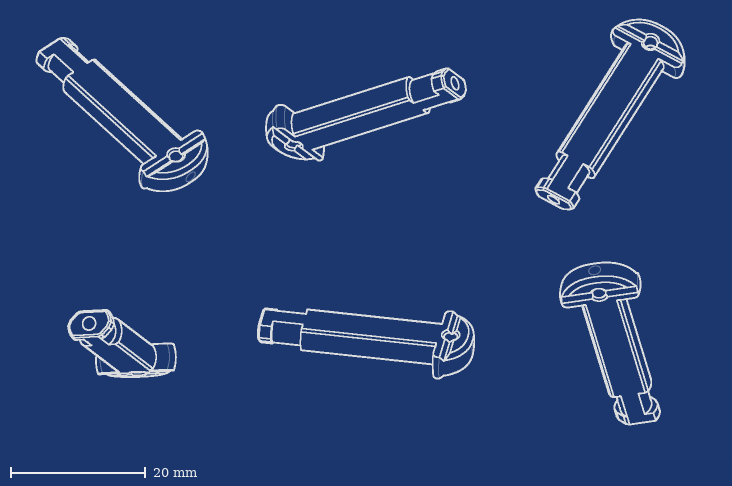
import cadquery as cq
import math

LENGTH = 31.88
THICKNESS = 4.0
HALF_THICKNESS = THICKNESS / 2

TIP_END_X = 2.0
NECK_END_X = 6.5
HEAD_START_X = 26.8

SHAFT_RADIUS = 3.3
SHAFT_FLAT_HALF_WIDTH = 2.35
SHAFT_BEVEL_Y = 2.85
NECK_RADIUS = 2.4
TIP_CHAMFER = 0.3
CENTRE_DIMPLE_DIAMETER = 2.0

TIP_BEVEL_START_Z = -0.15
TIP_BEVEL_LOWER = (2.93, 0.7)
TIP_BEVEL_UPPER = (1.88, 1.8)
TIP_FLAT_HALF_WIDTH = 1.3

DOME_RADIUS = 5.35
DOME_FLAT_RADIUS = 0.9
HEAD_FILLET = 0.8
DOME_CHAMFER = 0.6
GROOVE_X = 28.55
GROOVE_DEPTH = 0.67
HOLE_DIAMETER = 2.0
COUNTERSINK_DIAMETER = 2.68


def section(start_x):
    """Sketch plane across the part, with local axes along +Y and +Z."""
    return cq.Workplane("YZ", origin=(start_x, 0, 0))


def circle_point(radius, y=None, z=None):
    """Point with positive y or z on a circle about the X axis."""
    if y is None:
        return (math.sqrt(radius**2 - z**2), z)
    return (y, math.sqrt(radius**2 - y**2))


def opposite(point):
    """Point turned half a turn about the X axis."""
    return (-point[0], -point[1])


def mirror_y(point):
    return (-point[0], point[1])


def make_tip():
    """Round tip with flats and two diagonally opposite bevelled corners."""
    arc_start = circle_point(SHAFT_RADIUS, z=-HALF_THICKNESS)
    arc_end = circle_point(SHAFT_RADIUS, z=TIP_BEVEL_START_Z)
    arc_middle = circle_point(SHAFT_RADIUS, z=(arc_start[1] + arc_end[1]) / 2)
    flat_start = (TIP_FLAT_HALF_WIDTH, HALF_THICKNESS)

    outline = section(0).moveTo(*arc_start)
    outline = outline.threePointArc(arc_middle, arc_end)
    for point in (TIP_BEVEL_LOWER, TIP_BEVEL_UPPER, flat_start, opposite(arc_start)):
        outline = outline.lineTo(*point)
    outline = outline.threePointArc(opposite(arc_middle), opposite(arc_end))
    for point in (TIP_BEVEL_LOWER, TIP_BEVEL_UPPER, flat_start):
        outline = outline.lineTo(*opposite(point))
    tip = outline.close().extrude(TIP_END_X)
    return tip.faces("<X").chamfer(TIP_CHAMFER)


def make_neck():
    """Reduced round neck with flats."""
    length = NECK_END_X - TIP_END_X
    flats = section(TIP_END_X).rect(2 * NECK_RADIUS, THICKNESS).extrude(length)
    return section(TIP_END_X).circle(NECK_RADIUS).extrude(length).intersect(flats)


def make_shaft():
    """Flattened round shaft with a bevel along each edge of the flats."""
    bevel_end = circle_point(SHAFT_RADIUS, y=SHAFT_BEVEL_Y)
    flat_end = (SHAFT_FLAT_HALF_WIDTH, HALF_THICKNESS)
    outline = (
        section(NECK_END_X)
        .moveTo(bevel_end[0], -bevel_end[1])
        .threePointArc((SHAFT_RADIUS, 0), bevel_end)
        .lineTo(*flat_end)
        .lineTo(*mirror_y(flat_end))
        .lineTo(*mirror_y(bevel_end))
        .threePointArc((-SHAFT_RADIUS, 0), opposite(bevel_end))
        .lineTo(*opposite(flat_end))
        .lineTo(flat_end[0], -flat_end[1])
        .close()
    )
    return outline.extrude(HEAD_START_X - NECK_END_X)


def make_head_cap():
    """Dome turned about the X axis: flat centre, round shoulder and filleted back rim."""
    shoulder_x = LENGTH - DOME_RADIUS
    fillet_x = HEAD_START_X + HEAD_FILLET
    fillet_y = DOME_FLAT_RADIUS + math.sqrt(
        (DOME_RADIUS - HEAD_FILLET) ** 2 - (fillet_x - shoulder_x) ** 2
    )
    tangent_angle = math.atan2(fillet_y - DOME_FLAT_RADIUS, fillet_x - shoulder_x)
    fillet_angle = (math.pi + tangent_angle) / 2

    def shoulder_point(angle):
        return (
            shoulder_x + DOME_RADIUS * math.cos(angle),
            DOME_FLAT_RADIUS + DOME_RADIUS * math.sin(angle),
        )

    fillet_middle = (
        fillet_x + HEAD_FILLET * math.cos(fillet_angle),
        fillet_y + HEAD_FILLET * math.sin(fillet_angle),
    )
    return (
        cq.Workplane("XY")
        .moveTo(HEAD_START_X, 0)
        .lineTo(HEAD_START_X, fillet_y)
        .threePointArc(fillet_middle, shoulder_point(tangent_angle))
        .threePointArc(shoulder_point(tangent_angle / 2), shoulder_point(0))
        .lineTo(LENGTH, 0)
        .close()
        .revolve(360, (0, 0, 0), (1, 0, 0))
    )


def make_groove(side):
    """Right-angled V groove along Y on the top (side = 1) or bottom (side = -1) flat."""
    surface_z = side * HALF_THICKNESS
    return (
        cq.Workplane("XZ")
        .moveTo(GROOVE_X - GROOVE_DEPTH, surface_z)
        .lineTo(GROOVE_X + GROOVE_DEPTH, surface_z)
        .lineTo(GROOVE_X, surface_z - side * GROOVE_DEPTH)
        .close()
        .extrude(LENGTH, both=True)
    )


def make_cross_hole():
    """Through hole along Z with a 45 degree countersink at both flats."""
    radius = HOLE_DIAMETER / 2
    sink_radius = COUNTERSINK_DIAMETER / 2
    sink_depth = sink_radius - radius
    hole = cq.Workplane("XY", origin=(GROOVE_X, 0, 0)).circle(radius).extrude(THICKNESS, both=True)
    for side in (1, -1):
        sink = cq.Solid.makeCone(
            sink_radius,
            radius,
            sink_depth,
            pnt=cq.Vector(GROOVE_X, 0, side * HALF_THICKNESS),
            dir=cq.Vector(0, 0, -side),
        )
        hole = hole.union(cq.Workplane(sink))
    return hole


def make_head():
    """Flattened cap with chamfered dome edges, a groove in each flat and a cross hole."""
    flattened = make_head_cap().intersect(cq.Workplane("XY").box(2 * LENGTH, LENGTH, THICKNESS))
    beyond_groove = cq.Workplane("XY", origin=(GROOVE_X, 0, 0)).box(
        LENGTH, LENGTH, THICKNESS, centered=(False, True, True)
    )
    back = flattened.cut(beyond_groove)
    dome = flattened.intersect(beyond_groove)
    dome = dome.faces(">Z or <Z").edges(">X").chamfer(DOME_CHAMFER)
    head = back.union(dome)
    for side in (1, -1):
        head = head.cut(make_groove(side))
    return head.cut(make_cross_hole())


def make_centre_dimple():
    """Right-angled conical dimple in the tip face."""
    radius = CENTRE_DIMPLE_DIAMETER / 2
    return cq.Workplane(
        cq.Solid.makeCone(radius, 0, radius, pnt=cq.Vector(0, 0, 0), dir=cq.Vector(1, 0, 0))
    )


result = make_tip().union(make_neck()).union(make_shaft()).union(make_head())
result = result.cut(make_centre_dimple())